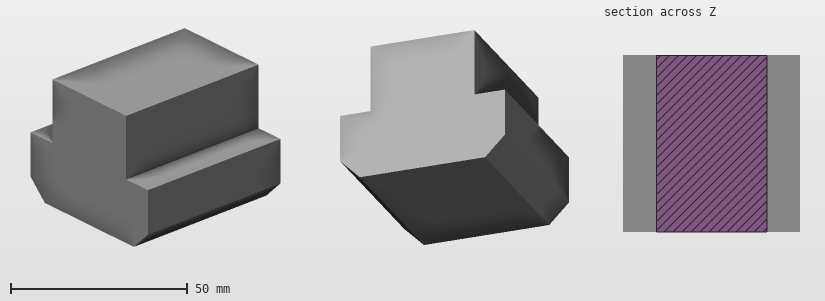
import cadquery as cq

base_width = 50.0
length = 50.0
total_height = 40.0
base_height = total_height / 2
neck_width = 31.5
chamfer_size = 6.0

base = cq.Workplane("XY").box(base_width, length, base_height, centered=(True, True, False))

base = base.faces("<Z").edges("|Y").chamfer(chamfer_size)

neck = (
    cq.Workplane("XY")
    .workplane(offset=base_height)
    .box(neck_width, length, total_height - base_height, centered=(True, True, False))
)

result = base.union(neck).clean()